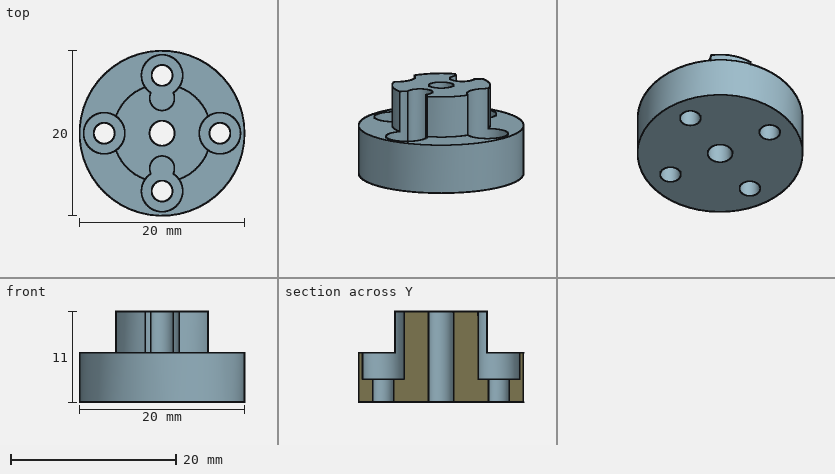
import cadquery as cq

flange_diameter = 20.0
flange_height = 6.0
boss_diameter = 11.9
boss_height = 5.0
total_height = flange_height + boss_height

bore_diameter = 3.0

screw_circle_radius = 7.0
screw_hole_diameter = 2.5
counterbore_diameter = 5.0
counterbore_floor_z = 2.8

relief_diameter = 3.0
relief_offset = 4.25
relief_floor_z = counterbore_floor_z


def cylinder(diameter, bottom_z, top_z, centers=((0, 0),)):
    """Upright cylinders of one diameter between two heights."""
    return (
        cq.Workplane("XY")
        .workplane(offset=bottom_z)
        .pushPoints(centers)
        .circle(diameter / 2)
        .extrude(top_z - bottom_z)
    )


def on_x_axis(radius):
    return [(radius, 0), (-radius, 0)]


def on_y_axis(radius):
    return [(0, radius), (0, -radius)]


def make_body():
    flange = cylinder(flange_diameter, 0, flange_height)
    boss = cylinder(boss_diameter, flange_height, total_height)
    return flange.union(boss)


def cut_screw_holes(body):
    centers = on_x_axis(screw_circle_radius) + on_y_axis(screw_circle_radius)
    holes = cylinder(screw_hole_diameter, 0, total_height, centers)
    counterbores = cylinder(counterbore_diameter, counterbore_floor_z, total_height, centers)
    return body.cut(holes).cut(counterbores)


def cut_relief_pockets(body):
    centers = on_y_axis(relief_offset)
    return body.cut(cylinder(relief_diameter, relief_floor_z, total_height, centers))


def cut_bore(body):
    return body.cut(cylinder(bore_diameter, 0, total_height))


result = cut_bore(cut_relief_pockets(cut_screw_holes(make_body())))